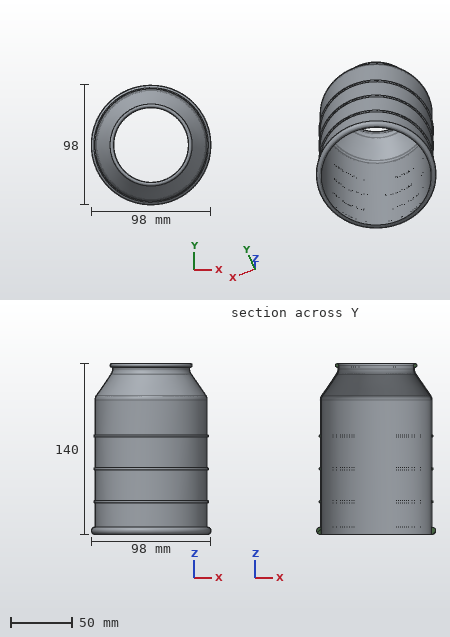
import cadquery as cq
import math

height = 140.0
foot_radius = 49.0
foot_bead = 3.1
wall = 1.0
neck_radius = 31.5
lip_bead = 1.5
neck_corner_z = 133.3
body_corner_z = 112.3
neck_bend = 7.5
body_bend = 6.6
rib_count = 3
rib_pitch = 26.9
rib_height = 1.0

body_radius = foot_radius - foot_bead
neck_inner_radius = neck_radius - wall
body_inner_radius = body_radius - wall
lip_center_radius = neck_inner_radius + lip_bead
lip_center_z = height - lip_bead
cone_angle = math.atan2(body_radius - neck_radius, neck_corner_z - body_corner_z)

neck_bend_center = (
    neck_radius + neck_bend,
    neck_corner_z + neck_bend * math.tan(cone_angle / 2),
)
body_bend_center = (
    body_radius - body_bend,
    body_corner_z - body_bend * math.tan(cone_angle / 2),
)


def polar(center, radius, angle):
    """Point at an angle, in radians, on a circle in the section plane."""
    return (center[0] + radius * math.cos(angle), center[1] + radius * math.sin(angle))


def bend_points(center, radius, start_angle):
    """Start, middle and end of a bend that turns through the cone angle."""
    return [polar(center, radius, start_angle + cone_angle * part) for part in (0, 0.5, 1)]


def add_half_round(section, center_z, radius):
    """Continue the outside line up and over a half-round ridge."""
    section = section.lineTo(body_radius, center_z - radius)
    return section.threePointArc(
        (body_radius + radius, center_z), (body_radius, center_z + radius)
    )


def wall_section():
    """Closed half section of the wall, in the XZ plane."""
    section = cq.Workplane("XZ").moveTo(body_inner_radius, 0)

    section = add_half_round(section, foot_bead, foot_bead)
    for index in range(1, rib_count + 1):
        section = add_half_round(section, index * rib_pitch, rib_height)

    start, middle, end = bend_points(body_bend_center, body_bend, 0)
    section = section.lineTo(*start).threePointArc(middle, end)
    end, middle, start = bend_points(neck_bend_center, neck_bend, math.pi)
    section = section.lineTo(*start).threePointArc(middle, end)

    neck_offset = neck_radius - lip_center_radius
    lip_start_z = lip_center_z - math.sqrt(lip_bead**2 - neck_offset**2)
    lip_outside = polar((lip_center_radius, lip_center_z), lip_bead, math.pi / 4)
    section = section.lineTo(neck_radius, lip_start_z)
    section = section.threePointArc(lip_outside, (neck_inner_radius, lip_center_z))

    start, middle, end = bend_points(neck_bend_center, neck_bend + wall, math.pi)
    section = section.lineTo(*start).threePointArc(middle, end)
    end, middle, start = bend_points(body_bend_center, body_bend - wall, 0)
    section = section.lineTo(*start).threePointArc(middle, end)
    return section.close()


result = wall_section().revolve(360, (0, 0, 0), (0, 1, 0))